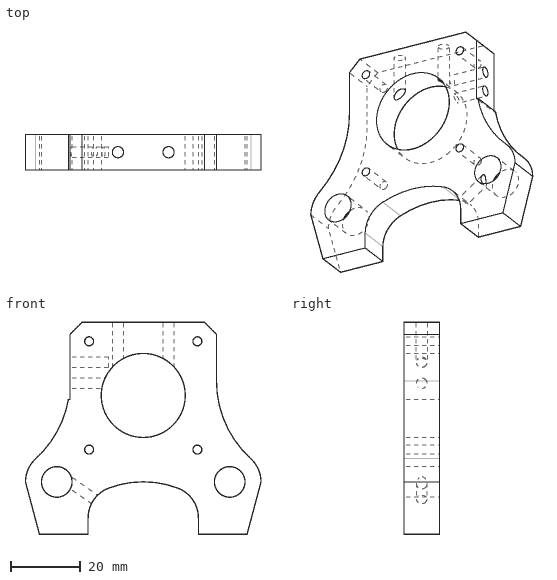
import cadquery as cq
import math

HEIGHT = 60.75
THICKNESS = 10.2

HEAD_HALF_WIDTH = 21.0
HEAD_CHAMFER = 3.5
FLAT_LENGTH = 22.1

ROD_X = 24.75
ROD_Z = 15.0
ROD_DIAMETER = 8.7
EAR_RADIUS = 9.0
NECK_RADIUS = 30.0
FOOT_HALF_WIDTH = 29.75

ARCH_HALF_WIDTH = 15.75
ARCH_TOP_Z = 15.0
ARCH_RADIUS = 28.0
ARCH_CORNER_RADIUS = 9.0

BORE_DIAMETER = 24.0
BORE_Z = HEIGHT - HEAD_HALF_WIDTH
SCREW_SPACING = 31.0
SCREW_DIAMETER = 2.5

TOP_HOLE_SPACING = 14.5
TOP_HOLE_DIAMETER = 3.2
SIDE_HOLE_DIAMETER = 3.0
SIDE_HOLE_DROPS = (11.5, 17.5)
SIDE_HOLE_DEPTH = 11.0
ROD_CROSS_HOLE_DIAMETER = 3.0
ROD_CROSS_HOLE_Z = 17.55
ROD_CROSS_HOLE_SLOPE = 35.0
ROD_CROSS_HOLE_LENGTH = 16.0


def point_on_circle(center, radius, angle):
    return (center[0] + radius * math.cos(angle), center[1] + radius * math.sin(angle))


def mirrored(point):
    return (-point[0], point[1])


def plate():
    """Symmetric outline with tangent arcs, extruded through the thickness."""
    ear = (ROD_X, ROD_Z)
    neck_x = HEAD_HALF_WIDTH + NECK_RADIUS
    neck_rise = math.sqrt((NECK_RADIUS + EAR_RADIUS) ** 2 - (neck_x - ROD_X) ** 2)
    neck = (neck_x, ROD_Z + neck_rise)
    neck_angle = math.atan2(neck_rise, neck_x - ROD_X)
    neck_start = (HEAD_HALF_WIDTH, neck[1])
    neck_mid = point_on_circle(neck, NECK_RADIUS, math.pi + neck_angle / 2)
    ear_start = point_on_circle(ear, EAR_RADIUS, neck_angle)
    ear_mid = point_on_circle(ear, EAR_RADIUS, neck_angle / 2)
    ear_end = (ROD_X + EAR_RADIUS, ROD_Z)

    arch_center_z = ARCH_TOP_Z - ARCH_RADIUS
    corner_x = ARCH_HALF_WIDTH - ARCH_CORNER_RADIUS
    corner_rise = math.sqrt((ARCH_RADIUS - ARCH_CORNER_RADIUS) ** 2 - corner_x ** 2)
    corner = (corner_x, arch_center_z + corner_rise)
    corner_angle = math.atan2(corner_rise, corner_x)
    corner_start = (ARCH_HALF_WIDTH, corner[1])
    corner_mid = point_on_circle(corner, ARCH_CORNER_RADIUS, corner_angle / 2)
    corner_end = point_on_circle(corner, ARCH_CORNER_RADIUS, corner_angle)

    chamfer_top = (HEAD_HALF_WIDTH - HEAD_CHAMFER, HEIGHT)
    chamfer_side = (HEAD_HALF_WIDTH, HEIGHT - HEAD_CHAMFER)

    return (
        cq.Workplane("XZ", origin=(0, THICKNESS / 2, 0))
        .moveTo(*mirrored(chamfer_top))
        .lineTo(*chamfer_top)
        .lineTo(*chamfer_side)
        .lineTo(*neck_start)
        .threePointArc(neck_mid, ear_start)
        .threePointArc(ear_mid, ear_end)
        .lineTo(FOOT_HALF_WIDTH, 0)
        .lineTo(ARCH_HALF_WIDTH, 0)
        .lineTo(*corner_start)
        .threePointArc(corner_mid, corner_end)
        .threePointArc((0, ARCH_TOP_Z), mirrored(corner_end))
        .threePointArc(mirrored(corner_mid), mirrored(corner_start))
        .lineTo(-ARCH_HALF_WIDTH, 0)
        .lineTo(-FOOT_HALF_WIDTH, 0)
        .lineTo(*mirrored(ear_end))
        .threePointArc(mirrored(ear_mid), mirrored(ear_start))
        .threePointArc(mirrored(neck_mid), mirrored(neck_start))
        .lineTo(*mirrored(chamfer_side))
        .close()
        .extrude(THICKNESS)
    )


def side_flat():
    """Trim that carries the flat -X wall below the start of the neck arc."""
    trim_width = ROD_X
    return (
        cq.Workplane("XY")
        .box(trim_width, THICKNESS, FLAT_LENGTH, centered=(False, True, False))
        .translate((-HEAD_HALF_WIDTH - trim_width, 0, HEIGHT - FLAT_LENGTH))
    )


def through_holes(points, diameter):
    """Holes along Y through the full thickness, at (x, z) points."""
    return (
        cq.Workplane("XZ", origin=(0, THICKNESS / 2, 0))
        .pushPoints(points)
        .circle(diameter / 2)
        .extrude(THICKNESS)
    )


def top_holes():
    """Vertical holes from the top face into the central bore."""
    return (
        cq.Workplane("XY", origin=(0, 0, BORE_Z))
        .pushPoints([(-TOP_HOLE_SPACING / 2, 0), (TOP_HOLE_SPACING / 2, 0)])
        .circle(TOP_HOLE_DIAMETER / 2)
        .extrude(HEIGHT - BORE_Z)
    )


def side_holes():
    """Blind holes from the -X wall; the lower one opens into the bore."""
    return (
        cq.Workplane("YZ", origin=(-HEAD_HALF_WIDTH, 0, 0))
        .pushPoints([(0, HEIGHT - drop) for drop in SIDE_HOLE_DROPS])
        .circle(SIDE_HOLE_DIAMETER / 2)
        .extrude(SIDE_HOLE_DEPTH)
    )


def rod_cross_hole():
    """Hole sloping down from the -X rod hole into the corner of the arch."""
    return (
        cq.Workplane("YZ")
        .circle(ROD_CROSS_HOLE_DIAMETER / 2)
        .extrude(ROD_CROSS_HOLE_LENGTH)
        .rotate((0, 0, 0), (0, 1, 0), ROD_CROSS_HOLE_SLOPE)
        .translate((-ROD_X, 0, ROD_CROSS_HOLE_Z))
    )


half_spacing = SCREW_SPACING / 2
screw_points = [(x, BORE_Z + z) for x in (-half_spacing, half_spacing) for z in (-half_spacing, half_spacing)]
rod_points = [(-ROD_X, ROD_Z), (ROD_X, ROD_Z)]

result = (
    plate()
    .cut(side_flat())
    .cut(through_holes([(0, BORE_Z)], BORE_DIAMETER))
    .cut(through_holes(screw_points, SCREW_DIAMETER))
    .cut(through_holes(rod_points, ROD_DIAMETER))
    .cut(top_holes())
    .cut(side_holes())
    .cut(rod_cross_hole())
)